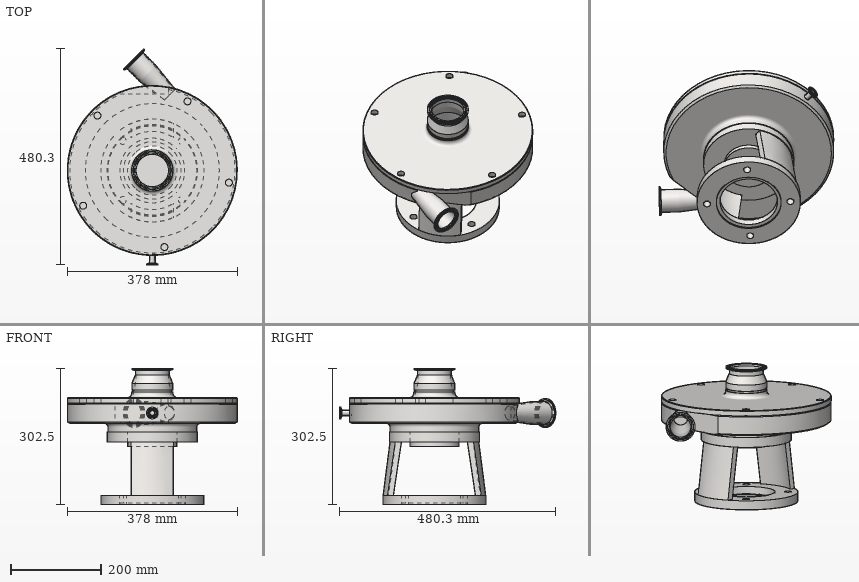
import cadquery as cq
import math

BASE_TOP = 20.5
HUB_BOTTOM = 128.5
RING_BOTTOM = 138.7
RING_TOP = 161.0
CASING_BOTTOM = 180.5
CASING_TOP = 223.0
LID_BOTTOM = 225.5
LID_TOP = 237.5
BOSS_TOP = 250.5
NOZZLE_BOTTOM = 255.0
REDUCER_BOTTOM = 269.5
REDUCER_TOP = 288.0
INLET_TOP = 302.5
PORT_HEIGHT = 203.5

CASING_RADIUS = 378.0 / 2
CASING_CHAMFER_HEIGHT = 3.5
CASING_CHAMFER_WIDTH = 5.5
LID_EDGE_CHAMFER = 1.5
GASKET_RADIUS = 149.0
NECK_RADIUS = 99.0
NECK_FILLET = 8.0
HUB_RADIUS = 54.5

LID_HOLE_COUNT = 5
LID_HOLE_RADIUS = 7.5
LID_HOLE_CIRCLE = 172.5
LID_HOLE_START_ANGLE = 135

BOSS_RADIUS = 46.0
BOSS_FILLET = 10.0
WELD_NECK_RADIUS = 43.5
NOZZLE_RADIUS = 45.5
NOZZLE_BORE = 42.0
INLET_PIPE_RADIUS = 38.0
INLET_BORE = 36.0
BORE_TAPER_TOP = 274.5
FERRULE_RADIUS = NOZZLE_RADIUS

RIM_THICKNESS = 2.5
FERRULE_TAPER = 2.5
GROOVE_WIDTH = 3.0
GROOVE_DEPTH = 1.5
INLET_GROOVE_RADIUS = 41.0

OUTLET_DIRECTION = 135
OUTLET_OFFSET = 145.5
OUTLET_REACH = 204.0
OUTLET_FERRULE_RADIUS = 32.0
OUTLET_PIPE_RADIUS = 25.5
OUTLET_WALL = 2.5
OUTLET_PIPE_LENGTH = 45.0
OUTLET_STRAIGHT_BORE = 39.0
OUTLET_CONE_LENGTH = 67.0
OUTLET_CONE_END_RADIUS = 18.2
OUTLET_CONE_TOP = OUTLET_REACH - OUTLET_PIPE_LENGTH
OUTLET_CONE_BOTTOM = OUTLET_CONE_TOP - OUTLET_CONE_LENGTH
OUTLET_GROOVE_RADIUS = 27.5
RELIEF_FACE = 170.0
RELIEF_RIGHT = OUTLET_OFFSET * math.sqrt(2) - RELIEF_FACE

DRAIN_DIRECTION = -90
DRAIN_REACH = 210.5
DRAIN_EMBED = 5.0
DRAIN_ROOT = CASING_RADIUS - DRAIN_EMBED
DRAIN_FERRULE_RADIUS = 13.0
DRAIN_STEM_RADIUS = 6.5
DRAIN_BORE = 5.5
DRAIN_GROOVE_RADIUS = 9.0
DRAIN_GROOVE_WIDTH = 2.5

BASE_RADIUS = 114.5
BASE_BORE = 64.0
BASE_RECESS_RADIUS = 72.0
BASE_RECESS_DEPTH = 4.0
BASE_HOLE_COUNT = 4
BASE_HOLE_RADIUS = 7.5
BASE_HOLE_CIRCLE = 92.5
BASE_HOLE_START_ANGLE = 45
RING_RADIUS = 100.5
LEG_WIDTH = 94.0
LEG_THICKNESS = 12.0
LEG_TOP_RADIUS = 99.0
LEG_BOTTOM_RADIUS = 114.3


def disc(radius, bottom, top):
    """Upright cylinder on the Z axis."""
    return cq.Workplane("XY").workplane(offset=bottom).circle(radius).extrude(top - bottom)


def turned(profile):
    """Revolve an outline of (radius, height) about the Z axis."""
    return profile.close().revolve(360, (0, 0, 0), (0, 1, 0))


def hole_ring(count, circle, start_angle, radius, bottom, top):
    """Upright cylinders spread evenly round a circle, for cutting holes."""
    return (
        cq.Workplane("XY")
        .workplane(offset=bottom)
        .polarArray(circle, start_angle, 360, count)
        .circle(radius)
        .extrude(top - bottom)
    )


def face_groove(radius, width, face_height):
    """Gasket groove to cut into a ferrule face that looks up."""
    bottom = face_height - GROOVE_DEPTH
    outer = disc(radius + width / 2, bottom, face_height)
    return outer.cut(disc(radius - width / 2, bottom, face_height))


def outlet_relief():
    """Flat cut in the casing rim, up to the outlet axis, where the outlet pipe leaves."""
    corner = (RELIEF_RIGHT - CASING_RADIUS, RELIEF_FACE)
    return (
        cq.Workplane("XY")
        .workplane(offset=CASING_BOTTOM)
        .moveTo(*corner)
        .rect(CASING_RADIUS, CASING_RADIUS, centered=False)
        .extrude(CASING_TOP - CASING_BOTTOM)
    )


def casing():
    """Flat round casing with its lid, neck and hub."""
    drum = turned(
        cq.Workplane("XZ")
        .moveTo(0, CASING_BOTTOM)
        .lineTo(CASING_RADIUS - CASING_CHAMFER_WIDTH, CASING_BOTTOM)
        .lineTo(CASING_RADIUS, CASING_BOTTOM + CASING_CHAMFER_HEIGHT)
        .lineTo(CASING_RADIUS, CASING_TOP)
        .lineTo(0, CASING_TOP)
    ).cut(outlet_relief())
    gasket = disc(GASKET_RADIUS, CASING_TOP, LID_BOTTOM)
    lid = disc(CASING_RADIUS, LID_BOTTOM, LID_TOP).faces(">Z").edges().chamfer(LID_EDGE_CHAMFER)
    lid = lid.cut(
        hole_ring(
            LID_HOLE_COUNT, LID_HOLE_CIRCLE, LID_HOLE_START_ANGLE, LID_HOLE_RADIUS, LID_BOTTOM, LID_TOP
        )
    )
    neck = turned(
        cq.Workplane("XZ")
        .moveTo(0, RING_TOP)
        .lineTo(NECK_RADIUS, RING_TOP)
        .lineTo(NECK_RADIUS, CASING_BOTTOM - NECK_FILLET)
        .radiusArc((NECK_RADIUS + NECK_FILLET, CASING_BOTTOM), NECK_FILLET)
        .lineTo(0, CASING_BOTTOM)
    )
    hub = disc(HUB_RADIUS, HUB_BOTTOM, RING_TOP)
    return drum.union(gasket).union(lid).union(neck).union(hub)


def inlet_outside():
    """Boss, weld neck, reducer and ferrule stacked on the lid."""
    rim_bottom = INLET_TOP - RIM_THICKNESS
    return turned(
        cq.Workplane("XZ")
        .moveTo(0, LID_TOP)
        .lineTo(BOSS_RADIUS + BOSS_FILLET, LID_TOP)
        .radiusArc((BOSS_RADIUS, LID_TOP + BOSS_FILLET), BOSS_FILLET)
        .lineTo(BOSS_RADIUS, BOSS_TOP)
        .lineTo(WELD_NECK_RADIUS, BOSS_TOP)
        .lineTo(WELD_NECK_RADIUS, NOZZLE_BOTTOM)
        .lineTo(NOZZLE_RADIUS, NOZZLE_BOTTOM)
        .lineTo(NOZZLE_RADIUS, REDUCER_BOTTOM)
        .lineTo(INLET_PIPE_RADIUS, REDUCER_TOP)
        .lineTo(INLET_PIPE_RADIUS, rim_bottom - FERRULE_TAPER)
        .lineTo(FERRULE_RADIUS, rim_bottom)
        .lineTo(FERRULE_RADIUS, INLET_TOP)
        .lineTo(0, INLET_TOP)
    )


def inlet_bore():
    """Bore of the inlet, ending at the underside of the lid, and the ferrule groove."""
    bore = turned(
        cq.Workplane("XZ")
        .moveTo(0, LID_BOTTOM)
        .lineTo(NOZZLE_BORE, LID_BOTTOM)
        .lineTo(NOZZLE_BORE, BOSS_TOP)
        .lineTo(INLET_BORE, BORE_TAPER_TOP)
        .lineTo(INLET_BORE, INLET_TOP)
        .lineTo(0, INLET_TOP)
    )
    return bore.union(face_groove(INLET_GROOVE_RADIUS, GROOVE_WIDTH, INLET_TOP))


def aimed(shape, direction, offset):
    """Lay an upright shape down at port height, its top pointing in the given direction.

    The offset moves the pipe sideways, to the right of that direction.
    """
    return (
        shape.rotate((0, 0, 0), (0, 1, 0), 90)
        .translate((0, -offset, PORT_HEIGHT))
        .rotate((0, 0, 0), (0, 0, 1), direction)
    )


def outlet_outside():
    """Outlet pipe with a ferrule, narrowing towards the casing; upright."""
    rim_bottom = OUTLET_REACH - RIM_THICKNESS
    return turned(
        cq.Workplane("XZ")
        .moveTo(0, OUTLET_CONE_BOTTOM)
        .lineTo(OUTLET_CONE_END_RADIUS, OUTLET_CONE_BOTTOM)
        .lineTo(OUTLET_PIPE_RADIUS, OUTLET_CONE_TOP)
        .lineTo(OUTLET_PIPE_RADIUS, rim_bottom - FERRULE_TAPER)
        .lineTo(OUTLET_FERRULE_RADIUS, rim_bottom)
        .lineTo(OUTLET_FERRULE_RADIUS, OUTLET_REACH)
        .lineTo(0, OUTLET_REACH)
    )


def outlet_bore():
    """Straight then tapering bore of the outlet, and the ferrule groove; upright."""
    bore = turned(
        cq.Workplane("XZ")
        .moveTo(0, OUTLET_CONE_BOTTOM)
        .lineTo(OUTLET_CONE_END_RADIUS - OUTLET_WALL, OUTLET_CONE_BOTTOM)
        .lineTo(OUTLET_PIPE_RADIUS - OUTLET_WALL, OUTLET_REACH - OUTLET_STRAIGHT_BORE)
        .lineTo(OUTLET_PIPE_RADIUS - OUTLET_WALL, OUTLET_REACH)
        .lineTo(0, OUTLET_REACH)
    )
    return bore.union(face_groove(OUTLET_GROOVE_RADIUS, GROOVE_WIDTH, OUTLET_REACH))


def drain_outside():
    """Short stem with a ferrule; upright."""
    rim_bottom = DRAIN_REACH - RIM_THICKNESS
    return turned(
        cq.Workplane("XZ")
        .moveTo(0, DRAIN_ROOT)
        .lineTo(DRAIN_STEM_RADIUS, DRAIN_ROOT)
        .lineTo(DRAIN_STEM_RADIUS, rim_bottom - FERRULE_TAPER)
        .lineTo(DRAIN_FERRULE_RADIUS, rim_bottom)
        .lineTo(DRAIN_FERRULE_RADIUS, DRAIN_REACH)
        .lineTo(0, DRAIN_REACH)
    )


def drain_bore():
    """Bore of the drain port and its ferrule groove; upright."""
    bore = disc(DRAIN_BORE, DRAIN_ROOT, DRAIN_REACH)
    return bore.union(face_groove(DRAIN_GROOVE_RADIUS, DRAIN_GROOVE_WIDTH, DRAIN_REACH))


def make_housing():
    """Pump housing: casing, lid and the three pipe connections."""
    body = casing().union(inlet_outside())
    body = body.union(aimed(outlet_outside(), OUTLET_DIRECTION, OUTLET_OFFSET))
    body = body.union(aimed(drain_outside(), DRAIN_DIRECTION, 0))
    body = body.cut(inlet_bore())
    body = body.cut(aimed(outlet_bore(), OUTLET_DIRECTION, OUTLET_OFFSET))
    return body.cut(aimed(drain_bore(), DRAIN_DIRECTION, 0))


def legs():
    """Two sloping legs, on the -Y and +Y sides, cut from a hollow cone."""
    shell = turned(
        cq.Workplane("XZ")
        .moveTo(LEG_BOTTOM_RADIUS - LEG_THICKNESS, BASE_TOP)
        .lineTo(LEG_BOTTOM_RADIUS, BASE_TOP)
        .lineTo(LEG_TOP_RADIUS, RING_BOTTOM)
        .lineTo(LEG_TOP_RADIUS - LEG_THICKNESS, RING_BOTTOM)
    )
    slab = cq.Workplane("XY").box(LEG_WIDTH, 2 * BASE_RADIUS, RING_TOP, centered=(True, True, False))
    return shell.intersect(slab)


def make_stand():
    """Recessed base plate and top ring joined by two legs; the ring's bore fits the housing hub."""
    base = disc(BASE_RADIUS, 0, BASE_TOP).cut(disc(BASE_BORE, 0, BASE_TOP))
    base = base.cut(disc(BASE_RECESS_RADIUS, 0, BASE_RECESS_DEPTH))
    base = base.cut(
        hole_ring(BASE_HOLE_COUNT, BASE_HOLE_CIRCLE, BASE_HOLE_START_ANGLE, BASE_HOLE_RADIUS, 0, BASE_TOP)
    )
    ring = disc(RING_RADIUS, RING_BOTTOM, RING_TOP).cut(disc(HUB_RADIUS, RING_BOTTOM, RING_TOP))
    return base.union(legs()).union(ring)


housing = make_housing()
stand = make_stand()
result = cq.Compound.makeCompound([housing.val(), stand.val()])